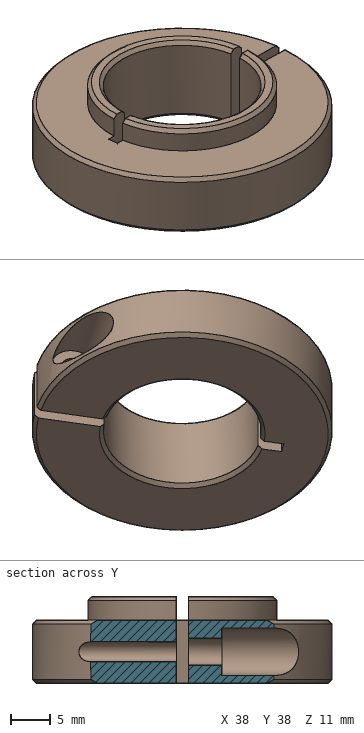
import cadquery as cq


flange_diameter = 38.0
flange_height = 8.0
hub_diameter = 24.0
total_height = 11.0
bore_diameter = 20.0
edge_chamfer = 0.5

slit_width = 1.5
notch_reach = 13.0

screw_y = 15.0
screw_z = flange_height / 2
head_diameter = 6.0
clearance_diameter = 3.4
tapped_diameter = 2.5
head_seat_x = -5.0

flange_radius = flange_diameter / 2


def chamfered_disc(diameter, height):
    """Disc standing on Z = 0 with its top rim chamfered."""
    return cq.Workplane("XY").circle(diameter / 2).extrude(height).faces(">Z").chamfer(edge_chamfer)


def make_ring():
    """Flange with a raised hub, bored through and chamfered at both ends of the bore."""
    flange = chamfered_disc(flange_diameter, flange_height).faces("<Z").chamfer(edge_chamfer)
    hub = chamfered_disc(hub_diameter, total_height)
    bore = cq.Workplane("XY").circle(bore_diameter / 2).extrude(total_height)
    ring = flange.union(hub).cut(bore)
    bore_edge = cq.selectors.RadiusNthSelector(0)
    for end_face in (">Z", "<Z"):
        ring = ring.faces(end_face).edges(bore_edge).chamfer(edge_chamfer)
    return ring


def make_slit():
    """Slab that opens the +Y wall and stops inside the -Y wall."""
    length = notch_reach + flange_radius
    return (
        cq.Workplane("XY")
        .center(0, length / 2 - notch_reach)
        .rect(slit_width, length)
        .extrude(total_height)
    )


def screw_bore(diameter, x_start, x_end):
    """Cylinder on the screw axis between two X positions."""
    return (
        cq.Workplane("YZ", origin=(x_start, screw_y, screw_z))
        .circle(diameter / 2)
        .extrude(x_end - x_start)
    )


def make_screw_hole():
    """Head pocket and clearance hole on the -X side, tapped hole out through the +X side."""
    head_pocket = screw_bore(head_diameter, -flange_radius, head_seat_x)
    clearance = screw_bore(clearance_diameter, head_seat_x, 0)
    tapped = screw_bore(tapped_diameter, 0, flange_radius)
    return head_pocket.union(clearance).union(tapped)


result = make_ring().cut(make_slit()).cut(make_screw_hole())